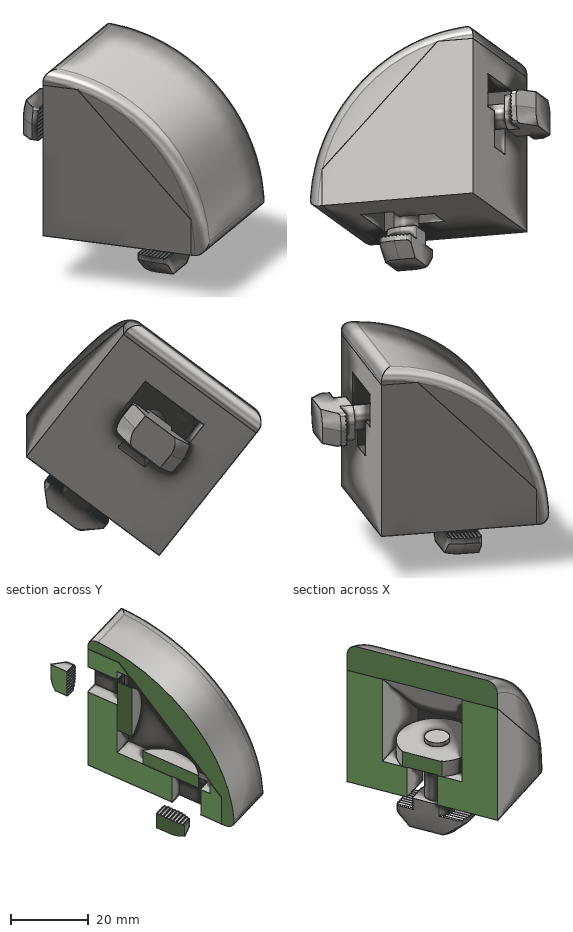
import cadquery as cq
import math

depth = 43.0
leg = 40.95
corner_land = 9.55
wall = 9.05
cavity_width = 22.65
cavity_end = 37.35

cap_radius = 45.0
cap_fillet = 3.0

bolt_offset = 25.35
narrow_slot_width = 8.6
wide_slot_width = 19.0
slot_start = 16.35
slot_step = 25.8
slot_end = 34.5

shaft_diameter = 6.45
shaft_end = 14.7
head_width = 8.65
head_diameter = 19.35
taper_height = 3.95
tip_diameter = head_diameter - 2 * taper_height
neck_diameter = 10.15
neck_gap = 2.95
bolt_reach = 11.7
head_height = 5.65
head_fillet = 1.0
neck_fillet = 0.5
tooth_pitch = 1.0
tooth_depth = 0.4

nut_diameter = 21.0
nut_height = 4.5

wall_planes = [
    cq.Plane(origin=(0, 0, 0), xDir=(1, 0, 0), normal=(0, 0, 1)),
    cq.Plane(origin=(0, 0, 0), xDir=(0, 0, 1), normal=(1, 0, 0)),
]


def placed(body, plane):
    """Move a body from local wall coordinates onto one of the wall faces."""
    return cq.Workplane(body.val().moved(cq.Location(plane)))


def prism_along_y(sketch, width):
    """Extrude a closed XZ outline symmetrically about Y = 0."""
    return sketch.extrude(width / 2, both=True)


def bracket_envelope():
    """Square block with its far corner cut off along the diagonal."""
    outline = [(0, 0), (leg, 0), (leg, corner_land), (corner_land, leg), (0, leg)]
    return prism_along_y(cq.Workplane("XZ").polyline(outline).close(), depth)


def make_slot():
    """Keyhole slot through one wall, in local wall coordinates."""
    narrow = (
        cq.Workplane("XY")
        .box(slot_end - slot_start, narrow_slot_width, wall, centered=(False, True, False))
        .translate((slot_start, 0, 0))
    )
    wide = (
        cq.Workplane("XY")
        .box(slot_end - slot_step, wide_slot_width, wall, centered=(False, True, False))
        .translate((slot_step, 0, 0))
    )
    return narrow.union(wide)


def make_bracket():
    """Angle bracket with a central cavity that opens to the diagonal side."""
    cavity_size = cavity_end - wall
    cavity = cq.Workplane("XY").box(cavity_size, cavity_width, cavity_size, centered=(False, True, False))
    body = bracket_envelope().cut(cavity.translate((wall, 0, wall)))
    slot = make_slot()
    for plane in wall_planes:
        body = body.cut(placed(slot, plane))
    return body


def make_cap():
    """Quarter cylinder with rounded outer edges, less the space of the bracket."""
    middle = cap_radius * math.sqrt(0.5)
    sector = (
        cq.Workplane("XZ")
        .lineTo(cap_radius, 0)
        .threePointArc((middle, middle), (0, cap_radius))
        .close()
    )
    quarter = prism_along_y(sector, depth)
    rounded = quarter.faces("%CYLINDER").edges().fillet(cap_fillet)
    return rounded.cut(bracket_envelope())


def hammer_block(half_profile):
    """Block along Y with the given half profile, turned round in two opposite quadrants.

    The profile is listed as (distance from the bolt axis, height).
    """
    far_side = [(-distance, height) for distance, height in reversed(half_profile)]
    block = cq.Workplane("YZ").polyline(half_profile + far_side).close().extrude(head_width / 2, both=True)

    top = half_profile[-1][1]
    bottom = half_profile[0][1]
    axis_profile = [(0, bottom)] + half_profile + [(0, top)]
    turned = cq.Workplane("XZ").polyline(axis_profile).close().revolve(360, (0, 0, 0), (0, 1, 0))

    quadrant = cq.Workplane("XY").box(head_width, head_diameter, top - bottom, centered=False)
    quadrant = quadrant.translate((0, 0, bottom))
    opposite = quadrant.rotate((0, 0, 0), (0, 0, 1), 180)
    return block.cut(quadrant.cut(turned)).cut(opposite.cut(turned))


def make_head():
    """Tapered hammer head with a serrated clamping face."""
    tip = -bolt_reach
    clamping_face = tip + head_height
    head = hammer_block([
        (tip_diameter / 2, tip),
        (head_diameter / 2, tip + taper_height),
        (head_diameter / 2, clamping_face),
    ])
    head = head.edges("|Z and (<X or >X)").fillet(head_fillet)

    groove_count = 2 * math.ceil(head_width / (2 * tooth_pitch))
    for index in range(groove_count):
        groove_x = (index - (groove_count - 1) / 2) * tooth_pitch
        groove = prism_along_y(
            cq.Workplane("XZ").polyline([
                (groove_x - tooth_pitch / 2, clamping_face),
                (groove_x, clamping_face - tooth_depth),
                (groove_x + tooth_pitch / 2, clamping_face),
            ]).close(),
            head_diameter,
        )
        head = head.cut(groove)
    return head


def make_neck():
    """Neck between head and shaft, reaching down to the roots of the teeth."""
    root = head_height - bolt_reach - tooth_depth
    neck = hammer_block([(neck_diameter / 2, root), (neck_diameter / 2, -neck_gap)])
    square_corners = neck.edges("|Z and (<(1, -1, 0) or >(1, -1, 0))")
    return square_corners.fillet(neck_fillet)


def make_bolt():
    """Hammer-head bolt along local Z, entering the wall at Z = 0."""
    shaft = (
        cq.Workplane("XY", origin=(0, 0, -neck_gap))
        .circle(shaft_diameter / 2)
        .extrude(neck_gap + shaft_end)
    )
    bolt = make_head().union(make_neck()).union(shaft)
    return bolt.translate((bolt_offset, 0, 0))


def make_nut():
    """Round flange nut seated on the inner face of the wall."""
    return (
        cq.Workplane("XY", origin=(bolt_offset, 0, wall))
        .circle(nut_diameter / 2)
        .circle(shaft_diameter / 2)
        .extrude(nut_height)
    )


bracket = make_bracket()
cap = make_cap()
bolts = [placed(make_bolt(), plane) for plane in wall_planes]
nuts = [placed(make_nut(), plane) for plane in wall_planes]

result = cq.Compound.makeCompound([
    bracket.val(),
    cap.val(),
    *[bolt.val() for bolt in bolts],
    *[nut.val() for nut in nuts],
])